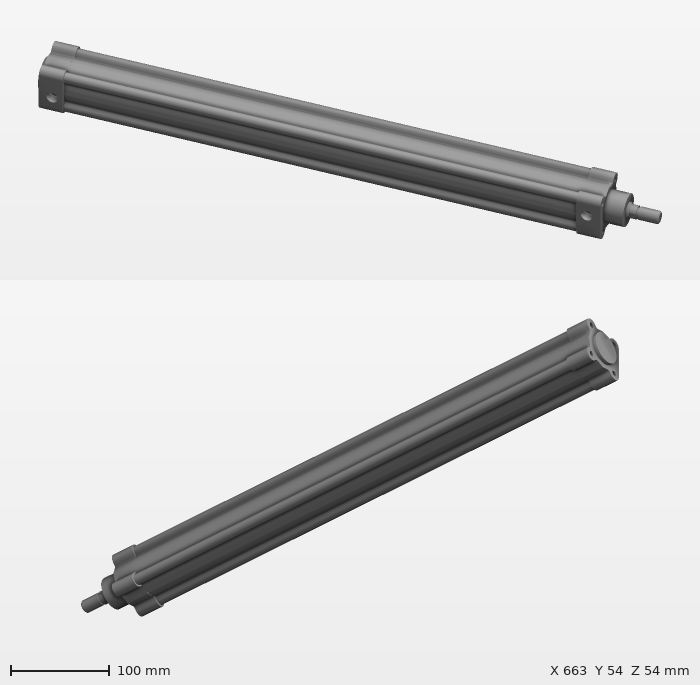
import cadquery as cq
import math

total_length = 663.0
rear_spigot_length = 4.0
cap_length = 26.0
barrel_length = 552.0
boss_length = 20.5

rear_end = -total_length / 2
rear_cap_face = rear_end + rear_spigot_length
barrel_start = rear_cap_face + cap_length
front_cap_start = barrel_start + barrel_length
front_cap_face = front_cap_start + cap_length
boss_face = front_cap_face + boss_length
rod_tip = total_length / 2

cap_size = 54.0
screw_offset = 19.0
cap_lobe_radius = cap_size / 2 - screw_offset
cap_ridge_half_width = 6.5
cap_valley_fillet = 2.5
spigot_diameter = 35.0
spigot_radius = spigot_diameter / 2
screw_hole_radius = 3.0
screw_hole_depth = 10.0

port_radius = 6.3
port_depth = 10.5
port_height = 5.0
port_inset = 14.5

barrel_lobe_radius = 5.7
barrel_ridge_half_width = 5.0
barrel_valley_fillet = 2.0

core_radius = 23.0
ridge_limit = 7.0
valley_limit = 12.5

shank_radius = 9.0
shank_protrusion = 1.0
rod_cone_length = 2.0
flats_radius = 7.0
flats_width = 13.0
flats_length = 7.0
undercut_radius = 6.0
undercut_length = 2.0
thread_diameter = 14.0
thread_radius = thread_diameter / 2
tip_chamfer = 1.0


def round_bar(start, length, radius, y=0.0, z=0.0):
    """Round bar parallel to X."""
    return cq.Workplane("YZ", origin=(start, y, z)).circle(radius).extrude(length)


def box_bar(start, length, width, height, y=0.0, z=0.0):
    """Rectangular bar parallel to X, centred on (y, z)."""
    return cq.Workplane("YZ", origin=(start, y, z)).rect(width, height).extrude(length)


def ridged_core(start, length, ridge_half_width):
    """Round bar with a low pointed ridge on each side, whose slopes are tangent to the round."""
    tilt = math.asin(ridge_half_width / core_radius)
    quarter = math.pi / 2
    peak_radius = core_radius / math.cos(tilt)

    def at(radius, angle):
        return (radius * math.cos(angle), radius * math.sin(angle))

    profile = cq.Workplane("YZ", origin=(start, 0, 0)).moveTo(*at(core_radius, tilt))
    for side in range(4):
        peak_angle = (side + 1) * quarter
        arc_middle = at(core_radius, peak_angle - quarter / 2)
        arc_end = at(core_radius, peak_angle - tilt)
        profile = profile.threePointArc(arc_middle, arc_end)
        profile = profile.lineTo(*at(peak_radius, peak_angle))
        profile = profile.lineTo(*at(core_radius, peak_angle + tilt))
    return profile.close().extrude(length)


def is_valley(edge):
    """True for the lengthwise inner corners between the core and the screw arms."""
    centre = edge.Center()
    return ridge_limit < min(abs(centre.y), abs(centre.z)) < valley_limit


def lobed_bar(start, length, ridge_half_width, lobe_radius, valley_fillet):
    """Ridged core with a rounded radial arm towards each of the four screws."""
    bar = ridged_core(start, length, ridge_half_width)
    arm_length = 2 * (screw_offset * math.sqrt(2) + lobe_radius)
    for angle in (45, 135):
        arm = (
            cq.Workplane("YZ", origin=(start, 0, 0))
            .slot2D(arm_length, 2 * lobe_radius, angle)
            .extrude(length)
        )
        bar = bar.union(arm)
    return bar.edges("|X").filter(is_valley).fillet(valley_fillet)


def cap_block(start):
    """Lobed cap whose -Y side is filled out to a flat between the screws."""
    block = lobed_bar(start, cap_length, cap_ridge_half_width, cap_lobe_radius, cap_valley_fillet)
    flat_pad = box_bar(
        start, cap_length, cap_lobe_radius, 2 * screw_offset, y=-screw_offset - cap_lobe_radius / 2
    )
    return block.union(flat_pad)


def cut_port(cap, x, z):
    """Blind round port entering the cap from its -Y flat."""
    port = cq.Workplane("XZ", origin=(x, -cap_size / 2, z)).circle(port_radius).extrude(-port_depth)
    return cap.cut(port)


def cut_screw_holes(cap, start):
    """Four blind holes parallel to X, one in each lobe."""
    for y in (-screw_offset, screw_offset):
        for z in (-screw_offset, screw_offset):
            cap = cap.cut(round_bar(start, screw_hole_depth, screw_hole_radius, y, z))
    return cap


def make_rear_cap():
    """Cap with a low round spigot on its outer face."""
    cap = cap_block(rear_cap_face)
    cap = cap.union(round_bar(rear_end, rear_spigot_length, spigot_radius))
    cap = cut_screw_holes(cap, rear_cap_face)
    return cut_port(cap, rear_cap_face + port_inset, -port_height)


def make_front_cap():
    """Cap with a long round boss and a bore for the piston rod."""
    cap = cap_block(front_cap_start)
    cap = cap.union(round_bar(front_cap_face, boss_length, spigot_radius))
    cap = cut_screw_holes(cap, front_cap_face - screw_hole_depth)
    cap = cut_port(cap, front_cap_face - port_inset, port_height)
    return cap.cut(round_bar(front_cap_start, cap_length + boss_length, shank_radius))


def make_barrel():
    """Lobed bar that fills the length between the caps."""
    return lobed_bar(
        barrel_start, barrel_length, barrel_ridge_half_width, barrel_lobe_radius, barrel_valley_fillet
    )


def make_piston_rod():
    """Shank through the front cap, then a cone, wrench flats, an undercut and the threaded end."""
    shank_end = boss_face + shank_protrusion
    flats_start = shank_end + rod_cone_length
    undercut_start = flats_start + flats_length
    thread_start = undercut_start + undercut_length

    shank = round_bar(front_cap_start, shank_end - front_cap_start, shank_radius)
    cone = (
        cq.Workplane("YZ", origin=(shank_end, 0, 0))
        .circle(shank_radius)
        .workplane(offset=rod_cone_length)
        .circle(flats_radius)
        .loft()
    )
    flats = round_bar(flats_start, flats_length, flats_radius).intersect(
        box_bar(flats_start, flats_length, flats_width, 2 * flats_radius)
    )
    undercut = round_bar(undercut_start, undercut_length, undercut_radius)
    thread = round_bar(thread_start, rod_tip - thread_start, thread_radius)
    thread = thread.faces(">X").chamfer(tip_chamfer)
    return shank.union(cone).union(flats).union(undercut).union(thread)


rear_cap = make_rear_cap()
barrel = make_barrel()
front_cap = make_front_cap()
piston_rod = make_piston_rod()

result = cq.Compound.makeCompound(
    [rear_cap.val(), barrel.val(), front_cap.val(), piston_rod.val()]
)